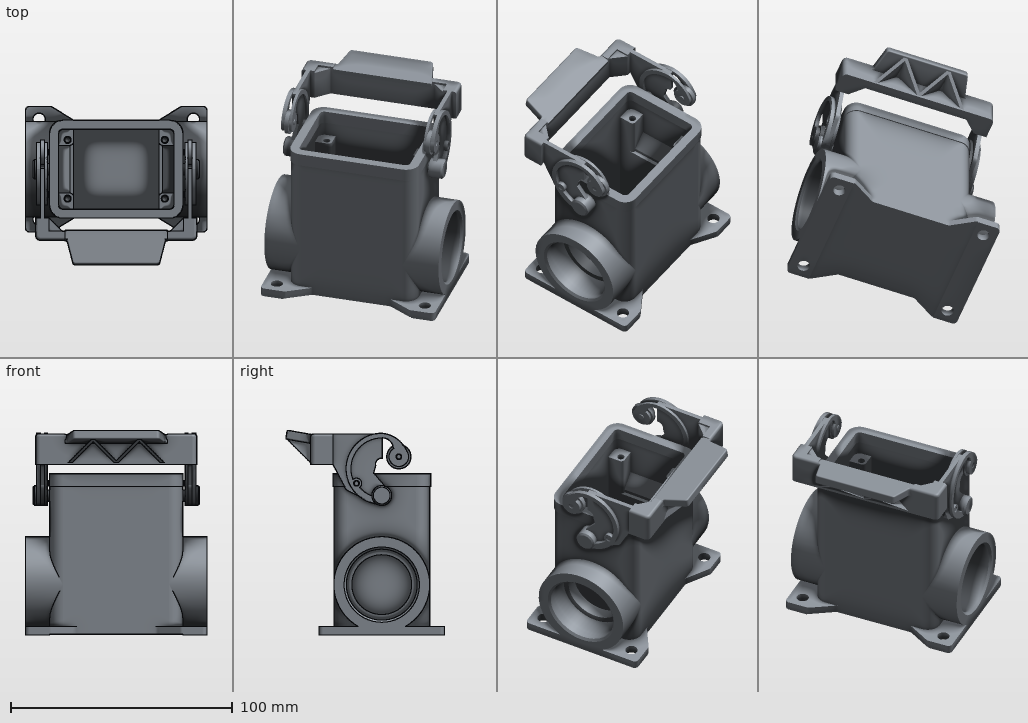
import cadquery as cq
import math

plate_half_x = 41.0
plate_half_y = 28.4
plate_thick = 4.0
plate_corner_r = 2.0
ear_tip_x = 29.4
ear_root_x = 18.4
ear_edge_r = 2.0
underside_relief = 0.4
mount_hole_x = 34.8
mount_hole_y = 22.5
mount_hole_d = 5.5

body_half_x = 30.0
body_half_y = 21.65
body_corner_r = 6.0
body_top = 72.9
collar_bottom = 67.1
collar_half_x = 30.15
collar_half_y = 22.1

mouth_half_x = 26.0
mouth_half_y = 18.0
mouth_corner_r = 2.2
well_half_x = 26.7
well_half_y = 18.2
well_corner_r = 3.2
floor_z = 4.0

post_top = 60.8
post_inner_x = 19.2
post_inner_y = 10.8
post_edge_r = 1.7
web_inner_x = 20.8
ledge_z = 41.0
web_top_z = 48.5
screw_x = 21.9
screw_y = 13.25
screw_mouth_d = 3.2
screw_end_d = 2.6
screw_depth = 12.0
screw_tip_angle = 118.0

port_z = 22.8
port_r = body_half_y
port_bore_r = 16.0
port_mouth_r = 17.0
port_bore_depth = 13.4
port_recess_r = 13.5
port_recess_x = 22.1

core_inner_x = 32.3
core_outer_x = 34.2
cheek_inner_x = 31.05
cheek_outer_x = 36.0
core_heel_top = (-17.0, 67.6)
core_heel_mid = (-16.3, 66.0)
core_heel_bottom = (-15.0, 65.0)
core_lobe_start = (-4.0, 59.6)
core_lobe_end = (1.2, 67.5)
core_waist = (-3.6, 73.1)
core_notch_start = (-2.7, 76.5)
core_notch_mid = (-1.9, 79.1)
core_notch_end = (0.3, 79.8)
rivet_inner_x = 30.6
rivet_r = 1.3
rivet_recess = 0.3
hook_z = 75.05
hook_outer_r = 16.1
hook_inner_r = 13.9
hook_land_r = 13.0
hook_end_angle = 163.0
hook_throat_mid = (3.6, 87.7)
hook_throat_end = (5.1, 84.9)
hook_back_start = (11.5, 82.6)
hook_back_mid = (7.0, 88.5)
tip_y = 7.7
tip_z = 80.5
tip_r = 4.4
roller_r = 5.5
pad_y = -11.4
pad_z = 68.5
pad_r = 2.35

pivot_z = 63.0
pivot_r = 4.5
pivot_head_x = 37.5
pivot_head_chamfer = 0.7
pivot_pin_r = 2.6

bar_half_x = 36.4
bar_inner_x = 30.3
bar_front_y = -32.1
bar_inner_y = -27.9
bar_back_y = -22.0
bar_top = 90.8
bar_bottom = 76.9
bar_corner_r = 2.2
bar_edge_r = 1.3
gusset_drop = 1.0
flap_tilt = 10.0
flap_thick = 4.1
flap_top_z = 92.42
flap_tip_y = -43.3
flap_root_half = 21.9
flap_flare_r = 1.3
flap_tip_half = 19.4
flap_edge_r = 0.6
flap_corner_r = 1.5
rib_thick = 1.3
rib_low_z = 77.8
rib_rise = 10.4


overlap = 1.0


def block(x0, x1, y0, y1, z0, z1):
    return cq.Workplane("XY").box(x1 - x0, y1 - y0, z1 - z0, centered=False).translate((x0, y0, z0))


def rounded_block(half_x, half_y, corner_r, z0, z1):
    return block(-half_x, half_x, -half_y, half_y, z0, z1).edges("|Z").fillet(corner_r)


def disc_x(radius, y, z, x0, x1):
    """Cylinder along X."""
    return cq.Workplane("YZ").center(y, z).circle(radius).extrude(x1 - x0).translate((x0, 0, 0))


def cone_cut(start_r, end_r, depth, start, direction):
    """Cone that narrows from its start point along the given direction."""
    return cq.Workplane(cq.Solid.makeCone(start_r, end_r, depth, cq.Vector(*start), cq.Vector(*direction)))


def both_sides(solid):
    return solid.union(solid.mirror("YZ"))


def four_corners(x, y):
    return [(sx * x, sy * y) for sx in (-1, 1) for sy in (-1, 1)]


def make_base_plate():
    quarter = [
        (plate_half_x, plate_half_y),
        (ear_tip_x, plate_half_y),
        (ear_root_x, body_half_y),
    ]
    outline = list(quarter)
    outline += [(-x, y) for x, y in reversed(quarter)]
    outline += [(-x, -y) for x, y in quarter]
    outline += [(x, -y) for x, y in reversed(quarter)]
    plate = cq.Workplane("XY").polyline(outline).close().extrude(plate_thick)
    plate = plate.edges("|Z and (>X or <X)").fillet(plate_corner_r)
    ear_reach = ear_tip_x + ear_edge_r
    ear_zone = cq.selectors.BoxSelector(
        (-ear_reach, -plate_half_y - overlap, -overlap),
        (ear_reach, plate_half_y + overlap, plate_thick + overlap),
    )
    return plate.edges(ear_zone).edges("|Z").fillet(ear_edge_r)


def make_body():
    body = make_base_plate()
    body = body.union(rounded_block(body_half_x, body_half_y, body_corner_r, underside_relief, body_top))
    body = body.union(rounded_block(collar_half_x, collar_half_y, body_corner_r, collar_bottom, body_top))
    port_root_x = body_half_x - body_corner_r
    body = body.union(both_sides(disc_x(port_r, 0, port_z, port_root_x, plate_half_x)))
    body = body.cut(block(-body_half_x, body_half_x, -plate_half_y, plate_half_y, 0, underside_relief))
    holes = cq.Workplane("XY").pushPoints(four_corners(mount_hole_x, mount_hole_y))
    return body.cut(holes.circle(mount_hole_d / 2).extrude(plate_thick))


def make_cavity():
    mouth = rounded_block(mouth_half_x, mouth_half_y, mouth_corner_r, collar_bottom, body_top)
    well = rounded_block(well_half_x, well_half_y, well_corner_r, ledge_z, collar_bottom)
    lower = block(-post_inner_x, post_inner_x, -well_half_y, well_half_y, floor_z, ledge_z)
    return mouth.union(well).union(lower)


def make_post_wall():
    """Screw posts at the +X end of the well, with the sloped web between them."""
    wall_x = well_half_x + overlap
    wall_y = well_half_y + overlap
    slope_start_z = web_top_z - (well_half_x - web_inner_x)
    wall = (
        cq.Workplane("XZ")
        .polyline([
            (web_inner_x, ledge_z),
            (web_inner_x, slope_start_z),
            (well_half_x, web_top_z),
            (wall_x, web_top_z),
            (wall_x, ledge_z),
        ])
        .close()
        .extrude(post_inner_y, both=True)
    )
    post = block(post_inner_x, wall_x, post_inner_y, wall_y, ledge_z, post_top)
    post = post.edges("|Z and <X and <Y").fillet(post_edge_r)
    wall = wall.union(post).union(post.mirror("XZ"))
    return wall


def make_screw_holes():
    """Tapered pilot holes with conical ends."""
    tip_depth = screw_end_d / 2 / math.tan(math.radians(screw_tip_angle / 2))
    down = (0, 0, -1)
    holes = cq.Workplane("XY")
    for x, y in four_corners(screw_x, screw_y):
        shank = cone_cut(screw_mouth_d / 2, screw_end_d / 2, screw_depth, (x, y, post_top), down)
        tip = cone_cut(screw_end_d / 2, 0, tip_depth, (x, y, post_top - screw_depth), down)
        holes = holes.union(shank).union(tip)
    return holes


def make_port_bore():
    """Stepped blind bore of the +X port."""
    bore_end = plate_half_x - port_bore_depth
    bore = disc_x(port_bore_r, 0, port_z, bore_end, plate_half_x)
    bore = bore.union(disc_x(port_recess_r, 0, port_z, port_recess_x, bore_end))
    chamfer = port_mouth_r - port_bore_r
    return bore.union(cone_cut(port_mouth_r, port_bore_r, chamfer, (plate_half_x, 0, port_z), (-1, 0, 0)))


def make_housing():
    housing = make_body().cut(make_cavity())
    posts = both_sides(make_post_wall())
    envelope = rounded_block(body_half_x, body_half_y, body_corner_r, underside_relief, body_top)
    housing = housing.union(posts.intersect(envelope)).cut(make_screw_holes())
    return housing.cut(both_sides(make_port_bore()))


def hook_point(radius, angle):
    """Point (y, z) on a hook arc; the angle runs from the top towards -Y."""
    a = math.radians(angle)
    return (-radius * math.sin(a), hook_z + radius * math.cos(a))


def make_hook_plates():
    pad_angle = math.degrees(math.atan2(-pad_y, pad_z - hook_z))
    land_mid = (pad_angle + hook_end_angle) / 2
    hook = (
        cq.Workplane("YZ")
        .moveTo(*hook_point(hook_outer_r, 0))
        .threePointArc(hook_point(hook_outer_r, hook_end_angle / 2), hook_point(hook_outer_r, hook_end_angle))
        .lineTo(0, pivot_z - pivot_r)
        .lineTo(0, pivot_z)
        .lineTo(*hook_point(hook_land_r, hook_end_angle))
        .threePointArc(hook_point(hook_land_r, land_mid), hook_point(hook_land_r, pad_angle))
        .lineTo(*hook_point(hook_inner_r, pad_angle))
        .threePointArc(hook_point(hook_inner_r, pad_angle / 2), hook_point(hook_inner_r, 0))
        .threePointArc(hook_throat_mid, hook_throat_end)
        .lineTo(tip_y, tip_z)
        .lineTo(*hook_back_start)
        .threePointArc(hook_back_mid, hook_point(hook_outer_r, 0))
        .close()
        .extrude(cheek_outer_x - cheek_inner_x)
        .translate((cheek_inner_x, 0, 0))
    )
    for radius, y, z in ((tip_r, tip_y, tip_z), (pad_r, pad_y, pad_z), (pivot_r, 0, pivot_z)):
        hook = hook.union(disc_x(radius, y, z, cheek_inner_x, cheek_outer_x))
    gap = block(core_inner_x, core_outer_x, -plate_half_y, plate_half_y, 0, flap_top_z)
    return hook.cut(gap)


def make_core_plate():
    """Core plate with the pivot lobe, the rounded notch above it and the roller in the hook."""
    core = (
        cq.Workplane("YZ")
        .moveTo(core_notch_end[0], bar_top)
        .lineTo(bar_back_y, bar_top)
        .lineTo(bar_back_y, bar_bottom)
        .lineTo(*core_heel_top)
        .threePointArc(core_heel_mid, core_heel_bottom)
        .lineTo(*core_lobe_start)
        .lineTo(0, pivot_z - pivot_r)
        .lineTo(pivot_r, pivot_z)
        .lineTo(*core_lobe_end)
        .lineTo(*core_waist)
        .lineTo(*core_notch_start)
        .threePointArc(core_notch_mid, core_notch_end)
        .close()
        .extrude(core_outer_x - core_inner_x)
        .translate((core_inner_x, 0, 0))
    )
    core = core.union(disc_x(pivot_r, 0, pivot_z, core_inner_x, core_outer_x))
    return core.union(disc_x(roller_r, tip_y, tip_z, core_inner_x, core_outer_x))


def make_cheek():
    """Everything on the +X side between the body and the pivot head."""
    cheek = make_core_plate().union(make_hook_plates())
    head = disc_x(pivot_r, 0, pivot_z, cheek_outer_x, pivot_head_x)
    head = head.faces(">X").chamfer(pivot_head_chamfer)
    cheek = cheek.union(head)
    cheek = cheek.union(disc_x(pivot_pin_r, 0, pivot_z, body_half_x - overlap, cheek_inner_x))
    for y, z in ((tip_y, tip_z), (pad_y, pad_z)):
        cheek = cheek.union(disc_x(rivet_r, y, z, rivet_inner_x, cheek_inner_x))
        recess_r = rivet_r - rivet_recess
        cheek = cheek.cut(cone_cut(rivet_r, recess_r, rivet_recess, (cheek_outer_x, y, z), (-1, 0, 0)))
    return cheek


def make_bar():
    bar = block(-bar_half_x, bar_half_x, bar_front_y, bar_back_y, bar_bottom, bar_top)
    bar = bar.edges("|Z and <Y").fillet(bar_corner_r)
    bar = bar.faces(">Z").edges("not >Y").fillet(bar_edge_r)
    inner = block(-bar_inner_x, bar_inner_x, bar_inner_y, bar_back_y, bar_bottom, bar_top)
    leg = bar_back_y - bar_inner_y
    gusset = (
        cq.Workplane("XY", origin=(0, 0, bar_bottom))
        .polyline([(bar_inner_x, bar_inner_y), (bar_inner_x - leg, bar_inner_y), (bar_inner_x, bar_back_y)])
        .close()
        .extrude(bar_top - gusset_drop - bar_bottom)
    )
    return bar.cut(inner).union(both_sides(gusset))


def tilt_to_flap(solid):
    """Tilt a slab whose top front edge lies on the X axis and move it to the handle's tip.

    The rounded edges pull the slab's reach back slightly, which the offsets make up for.
    """
    sine = math.sin(math.radians(flap_tilt))
    cosine = math.cos(math.radians(flap_tilt))
    rounding_loss = flap_edge_r * (sine + cosine - 1)
    tip = (0, flap_tip_y + flap_thick * sine - rounding_loss, flap_top_z + rounding_loss)
    return solid.rotate((0, 0, 0), (1, 0, 0), -flap_tilt).translate(tip)


def make_flap():
    root_y = bar_inner_y - flap_tip_y
    bend_y = bar_front_y - flap_tip_y
    flared_half = flap_root_half + flap_flare_r
    flare_mid = (
        flap_root_half + flap_flare_r * (1 - math.cos(math.pi / 4)),
        bend_y - flap_flare_r * (1 - math.sin(math.pi / 4)),
    )
    slab = (
        cq.Workplane("XY")
        .moveTo(flap_tip_half, 0)
        .lineTo(flap_root_half, bend_y - flap_flare_r)
        .threePointArc(flare_mid, (flared_half, bend_y))
        .lineTo(flared_half, root_y)
        .lineTo(-flared_half, root_y)
        .lineTo(-flared_half, bend_y)
        .threePointArc((-flare_mid[0], flare_mid[1]), (-flap_root_half, bend_y - flap_flare_r))
        .lineTo(-flap_tip_half, 0)
        .close()
        .extrude(-flap_thick)
    )
    slab = slab.edges("|Z and <Y").fillet(flap_corner_r)
    slab = slab.faces(">Z or <Z").edges("not >Y").fillet(flap_edge_r)
    return tilt_to_flap(slab)


def make_flap_clearance():
    """Space above the flap, which lowers the bar's top to the flap's surface."""
    length = bar_back_y - flap_tip_y
    half_x = flap_root_half + flap_flare_r
    return tilt_to_flap(block(-half_x, half_x, 0, length, 0, flap_thick))


def make_ribs():
    """Zigzag of four ribs under the flap, trimmed by a 45 degree plane."""
    high_z = rib_low_z + rib_rise
    along = rib_thick * math.sqrt(2) / 2
    zigzag = [(-2 * rib_rise, rib_low_z), (-rib_rise, high_z), (0, rib_low_z)]
    zigzag += [(-x, z) for x, z in reversed(zigzag[:-1])]
    depth_y = bar_front_y + overlap
    wedge = (
        cq.Workplane("YZ")
        .polyline([
            (depth_y, rib_low_z - overlap),
            (bar_front_y - rib_rise, high_z),
            (depth_y, high_z),
        ])
        .close()
        .extrude(flap_root_half + overlap, both=True)
    )
    ribs = cq.Workplane("XY")
    for (xa, za), (xb, zb) in zip(zigzag[:-1], zigzag[1:]):
        rib = (
            cq.Workplane("XZ", origin=(0, depth_y, 0))
            .polyline([(xa - along, za), (xa + along, za), (xb + along, zb), (xb - along, zb)])
            .close()
            .extrude(depth_y - flap_tip_y)
        )
        ribs = ribs.union(rib.intersect(wedge))
    return ribs


def make_handle():
    handle = make_bar().cut(make_flap_clearance())
    return handle.union(make_ribs()).union(make_flap())


result = make_housing().union(both_sides(make_cheek())).union(make_handle())